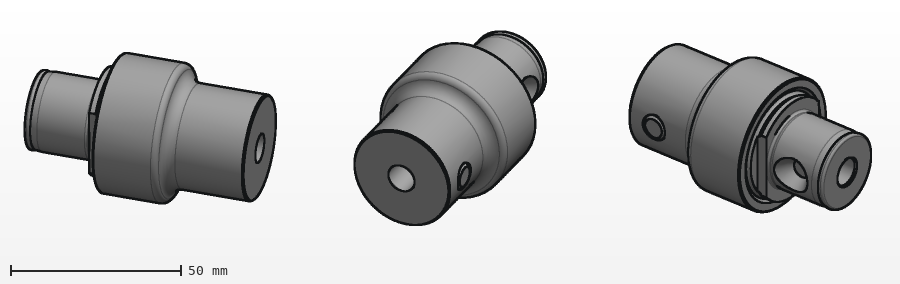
import cadquery as cq
import math

LENGTH = 69.0
BODY_DIAMETER = 42.0
TAIL_RADIUS = 15.95
SHANK_RADIUS = 12.0
BORE_RADIUS = 4.35
BORE_CHAMFER = 0.35
BORE_CHAMFER_LENGTH = 0.6

NOSE_ROUND = 0.75
RECESS_FLOOR_X = 1.85
RECESS_END_X = 4.0
RECESS_DEPTH = 0.3

SHANK_RELIEF_X = 18.7
SHANK_RELIEF_CONE = 0.75
SHANK_RELIEF_DEPTH = 0.2
SHANK_ROOT_FILLET = 0.75

FLANGE_X = 20.35
FLANGE_RADIUS = 16.35
FLANGE_LAND = 1.9
FLAT_LENGTH = 3.3
FLAT_DISTANCE = 12.55

NECK_RADIUS = 15.7
NECK_FILLET = 1.2
BODY_FACE_X = 23.95
GROOVE_DEPTH = 0.55
GROOVE_RADIUS = 18.0
BODY_CHAMFER = 0.4

SHOULDER_X = 41.95
SHOULDER_ROUND = 2.0
SHOULDER_FILLET = 4.0
TAIL_CHAMFER_LENGTH = 0.5
TAIL_CHAMFER_DROP = 0.35

CONE_X = 11.7
CONE_MOUTH_RADIUS = 6.2
CONE_DEPTH = 5.5
CONE_HALF_ANGLE = 30.0
CONE_EXTENSION = 1.4

SCREW_X = 59.6
SCREW_RADIUS = 4.15
SCREW_LENGTH = 8.3
SCREW_CHAMFER = 1.05
SCREW_PROTRUSION = 0.15

BODY_RADIUS = BODY_DIAMETER / 2
SCREW_TOP_Y = TAIL_RADIUS + SCREW_PROTRUSION


def turned_body():
    """Solid of revolution about X, drawn as its half section (x, radius)."""
    relief_radius = SHANK_RADIUS - SHANK_RELIEF_DEPTH
    groove_floor_x = BODY_FACE_X + GROOVE_DEPTH

    radius_sum = SHOULDER_ROUND + SHOULDER_FILLET
    round_center_r = BODY_RADIUS - SHOULDER_ROUND
    fillet_center_r = TAIL_RADIUS + SHOULDER_FILLET
    center_rise = fillet_center_r - round_center_r
    center_run = math.sqrt(radius_sum**2 - center_rise**2)
    shoulder_end_x = SHOULDER_X + center_run
    share = SHOULDER_ROUND / radius_sum
    meeting_point = (SHOULDER_X + share * center_run, round_center_r + share * center_rise)

    half_section = (
        cq.Workplane("XY")
        .lineTo(0, SHANK_RADIUS - NOSE_ROUND)
        .radiusArc((NOSE_ROUND, SHANK_RADIUS), NOSE_ROUND)
        .tangentArcPoint((RECESS_FLOOR_X, SHANK_RADIUS - RECESS_DEPTH), relative=False)
        .lineTo(RECESS_END_X, SHANK_RADIUS)
        .lineTo(SHANK_RELIEF_X, SHANK_RADIUS)
        .lineTo(SHANK_RELIEF_X + SHANK_RELIEF_CONE, relief_radius)
        .lineTo(FLANGE_X - SHANK_ROOT_FILLET, relief_radius)
        .radiusArc((FLANGE_X, relief_radius + SHANK_ROOT_FILLET), -SHANK_ROOT_FILLET)
        .lineTo(FLANGE_X, FLANGE_RADIUS)
        .lineTo(FLANGE_X + FLANGE_LAND, FLANGE_RADIUS)
        .lineTo(groove_floor_x - NECK_FILLET, NECK_RADIUS)
        .radiusArc((groove_floor_x, NECK_RADIUS + NECK_FILLET), -NECK_FILLET)
        .lineTo(BODY_FACE_X, GROOVE_RADIUS)
        .lineTo(BODY_FACE_X, BODY_RADIUS - BODY_CHAMFER)
        .lineTo(BODY_FACE_X + BODY_CHAMFER, BODY_RADIUS)
        .lineTo(SHOULDER_X, BODY_RADIUS)
        .radiusArc(meeting_point, SHOULDER_ROUND)
        .radiusArc((shoulder_end_x, TAIL_RADIUS), -SHOULDER_FILLET)
        .lineTo(LENGTH - TAIL_CHAMFER_LENGTH, TAIL_RADIUS)
        .lineTo(LENGTH, TAIL_RADIUS - TAIL_CHAMFER_DROP)
        .lineTo(LENGTH, 0)
        .close()
    )
    return half_section.revolve(360, (0, 0, 0), (1, 0, 0))


def wrench_flats():
    """Two blocks that cut parallel flats on the flange, up to the neck."""
    side_width = BODY_RADIUS - FLAT_DISTANCE
    blocks = cq.Workplane("XY")
    for side in (1, -1):
        center_y = side * (FLAT_DISTANCE + side_width / 2)
        block = cq.Workplane("XY").box(FLAT_LENGTH, side_width, BODY_DIAMETER)
        blocks = blocks.add(block.translate((FLANGE_X + FLAT_LENGTH / 2, center_y, 0)))
    return blocks.combine()


def through_bore():
    """Central bore with a chamfer at the shank end."""
    mouth_radius = BORE_RADIUS + BORE_CHAMFER
    return (
        cq.Workplane("XY")
        .lineTo(0, mouth_radius)
        .lineTo(BORE_CHAMFER_LENGTH, BORE_RADIUS)
        .lineTo(LENGTH, BORE_RADIUS)
        .lineTo(LENGTH, 0)
        .close()
        .revolve(360, (0, 0, 0), (1, 0, 0))
    )


def conical_seat():
    """Flat-bottomed cone narrowing toward the shank axis."""
    slope = math.tan(math.radians(CONE_HALF_ANGLE))
    floor_radius = CONE_MOUTH_RADIUS - CONE_DEPTH * slope
    outer_radius = CONE_MOUTH_RADIUS + CONE_EXTENSION * slope
    return cq.Workplane(
        cq.Solid.makeCone(
            floor_radius,
            outer_radius,
            CONE_DEPTH + CONE_EXTENSION,
            pnt=cq.Vector(CONE_X, SHANK_RADIUS - CONE_DEPTH, 0),
            dir=cq.Vector(0, 1, 0),
        )
    )


def screw_blank():
    """Plain cylinder of the set screw, which also cuts its matching hole."""
    return cq.Workplane(
        cq.Solid.makeCylinder(
            SCREW_RADIUS,
            SCREW_LENGTH,
            pnt=cq.Vector(SCREW_X, SCREW_TOP_Y - SCREW_LENGTH, 0),
            dir=cq.Vector(0, 1, 0),
        )
    )


def make_adapter():
    adapter = turned_body().cut(wrench_flats()).cut(through_bore())
    return adapter.cut(conical_seat()).cut(screw_blank())


def make_set_screw():
    return screw_blank().faces(">Y").chamfer(SCREW_CHAMFER)


adapter = make_adapter()
set_screw = make_set_screw()

result = cq.Compound.makeCompound([adapter.val(), set_screw.val()])